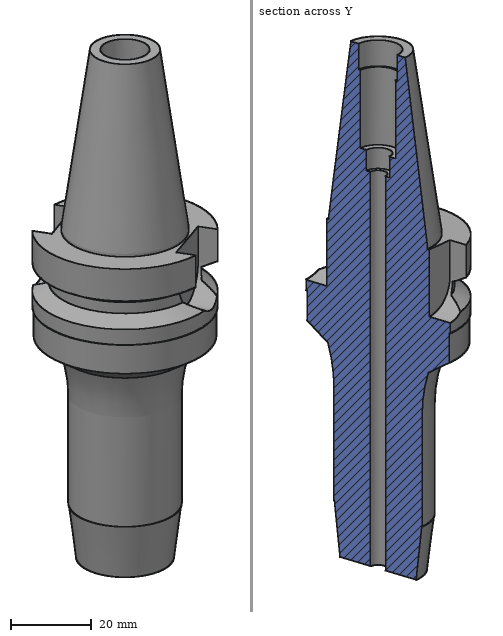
import cadquery as cq
import math

total_height = 138.4
gauge_z = 90.0
flange_top_z = 89.1
nose_top_z = 14.7
neck_top_z = 56.2
neck_bottom_z = 44.5

taper_ratio = 7 / 24
gauge_radius = 15.8
shank_top_radius = gauge_radius - (total_height - gauge_z) * taper_ratio / 2

flange_radius = 23.0
groove_radius = 19.0
groove_top_z = 80.4
groove_floor_top_z = 78.2
groove_floor_bottom_z = 75.2
groove_bottom_z = 72.7
collar_radius = 22.7
collar_top_z = 68.4
collar_bottom_z = 60.5

neck_radius = 16.0
body_radius = 14.1
nose_top_radius = 14.0
nose_radius = 12.2

slot_width = 16.2
slot_floor_x = 16.3
slot_bottom_z = 71.3

bore_steps = [(6.1, 6.9), (5.5, 27.7), (3.6, 33.2)]
through_radius = 2.4


def turned_body():
    """Revolve the outer half profile about Z."""
    rise = neck_top_z - neck_bottom_z
    spread = neck_radius - body_radius
    fillet_radius = (rise**2 + spread**2) / (2 * spread)
    middle_angle = math.asin(rise / fillet_radius) / 2
    fillet_middle = (
        body_radius + fillet_radius * (1 - math.cos(middle_angle)),
        neck_bottom_z + fillet_radius * math.sin(middle_angle),
    )
    return (
        cq.Workplane("XZ")
        .moveTo(0, 0)
        .lineTo(nose_radius, 0)
        .lineTo(nose_top_radius, nose_top_z)
        .lineTo(body_radius, nose_top_z)
        .lineTo(body_radius, neck_bottom_z)
        .threePointArc(fillet_middle, (neck_radius, neck_top_z))
        .lineTo(collar_radius, collar_bottom_z)
        .lineTo(collar_radius, collar_top_z)
        .lineTo(flange_radius, collar_top_z)
        .lineTo(flange_radius, groove_bottom_z)
        .lineTo(groove_radius, groove_floor_bottom_z)
        .lineTo(groove_radius, groove_floor_top_z)
        .lineTo(flange_radius, groove_top_z)
        .lineTo(flange_radius, flange_top_z)
        .lineTo(gauge_radius, flange_top_z)
        .lineTo(gauge_radius, gauge_z)
        .lineTo(shank_top_radius, total_height)
        .lineTo(0, total_height)
        .close()
        .revolve(360, (0, 0, 0), (0, 1, 0))
    )


def drive_slot(side):
    """Round-ended slot, open at the flange top, on the +X or -X side."""
    half_width = slot_width / 2
    round_center_z = slot_bottom_z + half_width
    return (
        cq.Workplane("YZ", origin=(side * slot_floor_x, 0, 0))
        .moveTo(-half_width, flange_top_z)
        .lineTo(-half_width, round_center_z)
        .threePointArc((0, slot_bottom_z), (half_width, round_center_z))
        .lineTo(half_width, flange_top_z)
        .close()
        .extrude(side * flange_radius)
    )


def stepped_bore(body):
    """Bore the shank end in steps that narrow down to the through hole."""
    body = body.cut(cq.Workplane("XY").circle(through_radius).extrude(total_height))
    for radius, depth in bore_steps:
        step = cq.Workplane("XY", origin=(0, 0, total_height - depth)).circle(radius)
        body = body.cut(step.extrude(depth))
    return body


result = turned_body()
for side in (-1, 1):
    result = result.cut(drive_slot(side))
result = stepped_bore(result)